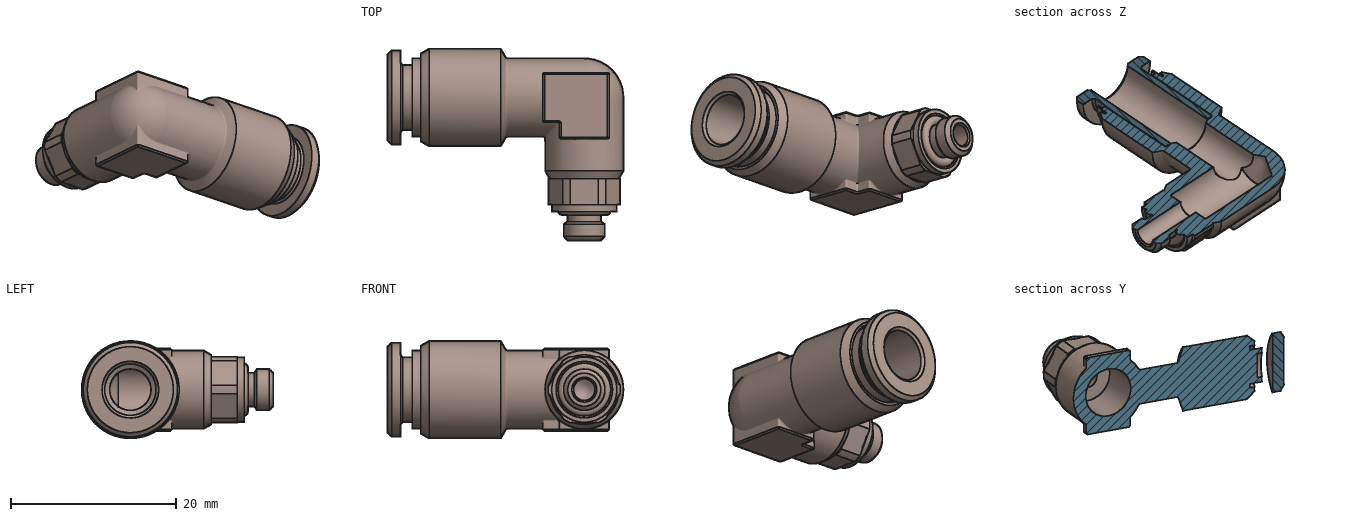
import cadquery as cq
import math


collet_length = 14.0
collet_exposed_length = 3.0
collet_flange_radius = 5.7
collet_flange_length = 1.6
collet_flange_chamfer = 0.5
collet_neck_radius = 3.95
collet_root_chamfer = 0.25
tube_bore_radius = 3.1
tube_mouth_chamfer = 0.33

elbow_radius = 4.75
corner_x = 23.8
sleeve_radius = 5.9
sleeve_start = 4.0
sleeve_end = 13.7
sleeve_lead_length = 1.05
sleeve_lead_drop = 0.6
sleeve_lip_radius = 4.97
socket_mouth_radius = 4.46
gap_depth = 0.6
sleeve_shoulder_angle = 60
sleeve_shoulder_length = (sleeve_radius - elbow_radius) / math.tan(math.radians(sleeve_shoulder_angle))
sleeve_root_fillet = 0.25
inner_corner_fillet = 0.15
leg_taper_start = 8.85
leg_taper_end_radius = 4.2

tube_passage_radius = 2.5
stud_passage_radius = 3.0
passage_top_y = 1.45
drill_tip_angle = 118

pad_half_width = 3.0
pad_reach = 5.0
pad_half_height = 5.0
pad_corner_fillet = 0.2
pad_edge_chamfer = 0.2
pad_root_fillet = 0.2

hex_start = 9.8
hex_end = 12.95
hex_sides = 6
hex_across_flats = 8.0
hex_corner_radius = 4.35
collar_radius = 3.94
collar_end = 13.8
shank_radius = 2.05
thread_radius = 2.5
thread_start = 15.0
thread_lead_in = 0.3
stud_end = 17.3
stud_tip_chamfer = 0.5
stud_bore_radius = 1.3
stud_mouth_chamfer = 0.2

seal_section_radius = 0.57
seal_ring_radius = shank_radius + seal_section_radius
seal_tip = 14.23
seal_groove_radius = 3.42

pick_margin = 0.02


def revolve_about_x(points):
    """Turn (x, radius) points around the tube axis."""
    return cq.Workplane("XY").polyline(points).close().revolve(360, (0, 0, 0), (1, 0, 0))


def revolve_about_leg(points):
    """Turn (radius, distance below the tube axis) points around the stud axis."""
    outline = [(corner_x + radius, -distance) for radius, distance in points]
    axis_start = (corner_x, 0, 0)
    axis_end = (corner_x, 1, 0)
    return cq.Workplane("XY").polyline(outline).close().revolve(360, axis_start, axis_end)


def leg_cylinder(radius, start, end):
    return revolve_about_leg([(0, start), (radius, start), (radius, end), (0, end)])


def make_collet():
    """Release collet, a flanged sleeve whose neck reaches down to the tube stop."""
    return revolve_about_x([
        (0, tube_bore_radius + tube_mouth_chamfer),
        (0, collet_flange_radius - collet_flange_chamfer),
        (collet_flange_chamfer, collet_flange_radius),
        (collet_flange_length, collet_flange_radius),
        (collet_flange_length, collet_neck_radius + collet_root_chamfer),
        (collet_flange_length + collet_root_chamfer, collet_neck_radius),
        (collet_length, collet_neck_radius),
        (collet_length, tube_bore_radius),
        (tube_mouth_chamfer, tube_bore_radius),
    ])


def make_elbow_corner():
    """Two equal cylinders that meet in a ball."""
    tube_leg = revolve_about_x([
        (sleeve_end, 0), (sleeve_end, elbow_radius), (corner_x, elbow_radius), (corner_x, 0),
    ])
    stud_leg = leg_cylinder(elbow_radius, 0, leg_taper_start)
    ball = cq.Workplane("XY").sphere(elbow_radius).translate((corner_x, 0, 0))
    return tube_leg.union(stud_leg).union(ball)


def make_sleeve():
    """Wide outer sleeve with a narrow ring groove around the socket nose."""
    return revolve_about_x([
        (collet_exposed_length, 0),
        (collet_exposed_length, elbow_radius),
        (sleeve_start + gap_depth, elbow_radius),
        (sleeve_start + gap_depth, sleeve_lip_radius),
        (sleeve_start, sleeve_lip_radius),
        (sleeve_start, sleeve_radius - sleeve_lead_drop),
        (sleeve_start + sleeve_lead_length, sleeve_radius),
        (sleeve_end, sleeve_radius),
        (sleeve_end + sleeve_shoulder_length, elbow_radius),
        (sleeve_end + sleeve_shoulder_length, 0),
    ])


def make_label_pads():
    outline = [
        (-pad_reach, pad_half_width),
        (pad_half_width, pad_half_width),
        (pad_half_width, -pad_reach),
        (-pad_half_width, -pad_reach),
        (-pad_half_width, -pad_half_width),
        (-pad_reach, -pad_half_width),
    ]
    block = cq.Workplane("XY", origin=(corner_x, 0, -pad_half_height)).polyline(outline).close()
    block = block.extrude(2 * pad_half_height)
    block = block.edges("|Z").fillet(pad_corner_fillet)
    return block.faces("<Z or >Z").edges().chamfer(pad_edge_chamfer)


def make_stud():
    """Leg taper, hexagon with turned corners, collar, threaded end and seal."""
    taper = revolve_about_leg([
        (0, leg_taper_start),
        (elbow_radius, leg_taper_start),
        (leg_taper_end_radius, hex_start),
        (0, hex_start),
    ])
    hex_across_corners = hex_across_flats / math.cos(math.pi / hex_sides)
    hexagon = cq.Workplane("XZ", origin=(corner_x, -hex_start, 0)).polygon(hex_sides, hex_across_corners)
    hexagon = hexagon.extrude(hex_end - hex_start)
    hexagon = hexagon.intersect(leg_cylinder(hex_corner_radius, hex_start, hex_end))

    seal_center = seal_tip - seal_section_radius
    threaded_end = revolve_about_leg([
        (0, hex_end),
        (collar_radius, hex_end),
        (collar_radius, collar_end),
        (seal_groove_radius, collar_end),
        (seal_ring_radius + seal_section_radius, seal_center),
        (shank_radius, seal_center),
        (shank_radius, thread_start),
        (thread_radius, thread_start + thread_lead_in),
        (thread_radius, stud_end - stud_tip_chamfer),
        (thread_radius - stud_tip_chamfer, stud_end),
        (0, stud_end),
    ])
    seal = cq.Workplane(cq.Solid.makeTorus(
        seal_ring_radius, seal_section_radius, cq.Vector(corner_x, -seal_center, 0), cq.Vector(0, 1, 0)
    ))
    return taper.union(hexagon).union(threaded_end).union(seal)


def make_passages():
    """Collet socket and tube passage, meeting the drilled stud passage at the bend."""
    tip_slope = math.tan(math.radians(drill_tip_angle / 2))
    stop_length = (tube_bore_radius - tube_passage_radius) / tip_slope
    tube_passage = revolve_about_x([
        (collet_exposed_length, 0),
        (collet_exposed_length, socket_mouth_radius),
        (collet_exposed_length + gap_depth, socket_mouth_radius),
        (collet_exposed_length + gap_depth, collet_neck_radius),
        (collet_length, collet_neck_radius),
        (collet_length, tube_bore_radius),
        (collet_length + stop_length, tube_passage_radius),
        (corner_x, tube_passage_radius),
        (corner_x, 0),
    ])
    tip_height = stud_passage_radius / tip_slope
    stud_passage = revolve_about_leg([
        (0, -passage_top_y - tip_height),
        (stud_passage_radius, -passage_top_y),
        (stud_passage_radius, hex_start),
        (stud_bore_radius, hex_start),
        (stud_bore_radius, stud_end - stud_mouth_chamfer),
        (stud_bore_radius + stud_mouth_chamfer, stud_end),
        (0, stud_end),
    ])
    return tube_passage.union(stud_passage)


def box_between(corner_a, corner_b):
    """Select edges that lie wholly inside the box between two corners."""
    return cq.selectors.BoxSelector(corner_a, corner_b, boundingbox=True)


def round_inner_creases(shell):
    """Round the sleeve shoulder root and the crease inside the bend."""
    shoulder_root_x = sleeve_end + sleeve_shoulder_length
    shoulder_root = box_between(
        (shoulder_root_x - pick_margin, -sleeve_radius, -sleeve_radius),
        (shoulder_root_x + pick_margin, sleeve_radius, sleeve_radius),
    )
    bend_crease = box_between(
        (corner_x - sleeve_radius, -sleeve_radius, -sleeve_radius),
        (corner_x + pick_margin, pick_margin, sleeve_radius),
    )
    shell = shell.edges(shoulder_root).fillet(sleeve_root_fillet)
    return shell.edges(bend_crease).edges("%ELLIPSE").fillet(inner_corner_fillet)


def add_label_pads(shell):
    """Join both pads to the elbow and round the line where each one meets it."""
    shell = shell.union(make_label_pads())
    root_floor = elbow_radius / 2
    root_ceiling = pad_half_height - pad_edge_chamfer - pick_margin
    near = pad_half_width + pick_margin
    far = pad_reach + pick_margin
    for side in (1, -1):
        heights = sorted((side * root_floor, side * root_ceiling))
        pad_root = box_between((corner_x - far, -far, heights[0]), (corner_x + near, near, heights[1]))
        shell = shell.edges(pad_root).edges("not |Z").fillet(pad_root_fillet)
    return shell


def make_fitting():
    """Elbow and stud in one piece, bored through and socketed for the collet."""
    shell = make_elbow_corner().union(make_sleeve())
    shell = add_label_pads(round_inner_creases(shell))
    return shell.union(make_stud()).cut(make_passages())


collet = make_collet()
fitting = make_fitting()
result = cq.Compound.makeCompound([fitting.val(), collet.val()])